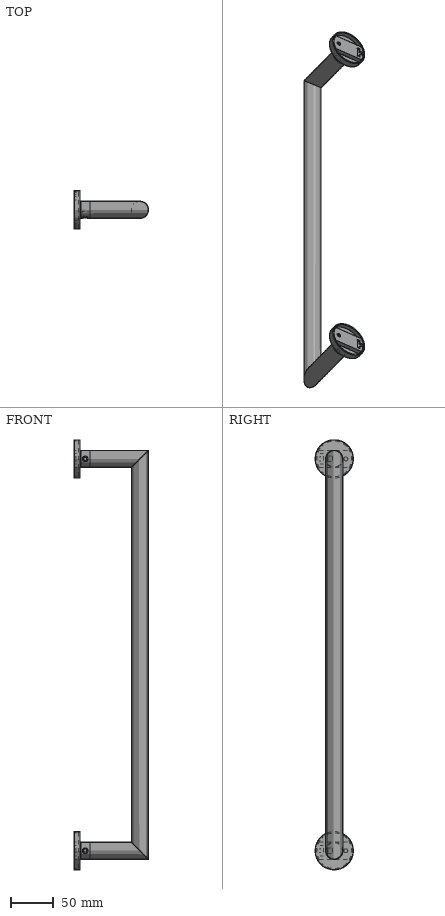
import cadquery as cq

OVERALL_HEIGHT = 501.5
OVERALL_DEPTH = 87.0

ROSE_DIAMETER = 44.5
ROSE_HEIGHT = 7.0
ROSE_WALL = 1.5
ROSE_FLOOR = 2.0

ROD_RADIUS = 10.0
SOCKET_WALL = 0.5
SOCKET_END = 18.5

PLATE_WIDTH = 20.0
PLATE_CLEARANCE = 0.5
SHOULDER_STEP = 0.25
SHOULDER_END = 8.0

RECESS_DEPTH = 2.0
ROUND_RECESS_DIAMETER = 4.5
ROUND_RECESS_OFFSET = 13.5
T_HEAD_OFFSET = 12.5
T_HEAD_LENGTH = 3.5
T_HEAD_WIDTH = 12.0
T_NECK_WIDTH = 4.5

SET_SCREW_DIAMETER = 6.5
SET_SCREW_LENGTH = 7.5
SET_SCREW_INSET = 0.5
SET_SCREW_X = 13.0
HEX_ACROSS_CORNERS = 4.0
HEX_DEPTH = 2.5

ROSE_RADIUS = ROSE_DIAMETER / 2
CUP_RADIUS = ROSE_RADIUS - ROSE_WALL
CUP_DEPTH = ROSE_HEIGHT - ROSE_FLOOR
PLATE_RADIUS = CUP_RADIUS - PLATE_CLEARANCE
SPIGOT_RADIUS = ROD_RADIUS - SOCKET_WALL
SHOULDER_RADIUS = SPIGOT_RADIUS + SHOULDER_STEP
BAR_X = OVERALL_DEPTH - ROD_RADIUS
LEG_Z = (OVERALL_HEIGHT - ROSE_DIAMETER) / 2


def cylinder_x(radius, start, end, y=0):
    """Cylinder along X from start to end, its axis at (y, z = 0)."""
    return cq.Workplane("YZ", origin=(start, 0, 0)).center(y, 0).circle(radius).extrude(end - start)


def cylinder_y(radius, start, end):
    """Cylinder along Y from start to end on the axis of the set screw."""
    plane = cq.Plane(origin=(SET_SCREW_X, start, 0), xDir=(1, 0, 0), normal=(0, 1, 0))
    return cq.Workplane(plane).circle(radius).extrude(end - start)


def block(x_range, y_range, width):
    """Box over the given X and Y ranges, centred on z = 0."""
    x_start, x_end = x_range
    y_start, y_end = y_range
    box = cq.Workplane("XY").box(x_end - x_start, y_end - y_start, width, centered=(False, False, True))
    return box.translate((x_start, y_start, 0))


def mitre_wedge():
    """Prism between the two 45 degree mitre planes, which holds the whole bar."""
    inner_x, outer_x = BAR_X - 2 * ROD_RADIUS, BAR_X + 2 * ROD_RADIUS
    inner_z, outer_z = LEG_Z - 2 * ROD_RADIUS, LEG_Z + 2 * ROD_RADIUS
    outline = [(inner_x, -inner_z), (outer_x, -outer_z), (outer_x, outer_z), (inner_x, inner_z)]
    return cq.Workplane("XZ").polyline(outline).close().extrude(2 * ROD_RADIUS, both=True)


def make_bar():
    rod = cq.Workplane("XY").center(BAR_X, 0).circle(ROD_RADIUS).extrude(OVERALL_HEIGHT / 2, both=True)
    return rod.intersect(mitre_wedge())


def spigot():
    """Spigot with its shoulder, from the plate to the end of the socket."""
    shoulder = cylinder_x(SHOULDER_RADIUS, CUP_DEPTH, SHOULDER_END)
    return shoulder.union(cylinder_x(SPIGOT_RADIUS, SHOULDER_END, SOCKET_END))


def set_screw_blank():
    outer_end = -ROD_RADIUS + SET_SCREW_INSET
    return cylinder_y(SET_SCREW_DIAMETER / 2, outer_end, outer_end + SET_SCREW_LENGTH)




def make_leg(side):
    """Leg of the upper (side = 1) or lower (side = -1) foot, with its mitre, socket and screw hole."""
    rod = cylinder_x(ROD_RADIUS, ROSE_HEIGHT, OVERALL_DEPTH)
    mitred = rod.cut(mitre_wedge().translate((0, 0, -side * LEG_Z)))
    screw_hole = cylinder_y(SET_SCREW_DIAMETER / 2, -2 * ROD_RADIUS, 0)
    return mitred.cut(spigot()).cut(screw_hole)


def make_rose():
    cup = cylinder_x(ROSE_RADIUS, 0, ROSE_HEIGHT).cut(cylinder_x(CUP_RADIUS, 0, CUP_DEPTH))
    return cup.cut(cylinder_x(SHOULDER_RADIUS, 0, ROSE_HEIGHT))


def t_recess():
    depth = (0, RECESS_DEPTH)
    head_end = T_HEAD_OFFSET + T_HEAD_LENGTH
    head = block(depth, (-head_end, -T_HEAD_OFFSET), T_HEAD_WIDTH)
    neck = block(depth, (-ROSE_RADIUS, -T_HEAD_OFFSET), T_NECK_WIDTH)
    return head.union(neck)


def make_mount():
    plate = cylinder_x(PLATE_RADIUS, 0, CUP_DEPTH)
    plate = plate.intersect(block((0, CUP_DEPTH), (-ROSE_RADIUS, ROSE_RADIUS), PLATE_WIDTH))
    round_recess = cylinder_x(ROUND_RECESS_DIAMETER / 2, 0, RECESS_DEPTH, ROUND_RECESS_OFFSET)
    plate = plate.cut(round_recess).cut(t_recess())
    return plate.union(spigot()).cut(set_screw_blank())


def make_set_screw():
    hex_socket = (
        cq.Workplane(cq.Plane(origin=(SET_SCREW_X, -ROD_RADIUS, 0), xDir=(1, 0, 0), normal=(0, 1, 0)))
        .polygon(6, HEX_ACROSS_CORNERS)
        .extrude(SET_SCREW_INSET + HEX_DEPTH)
    )
    return set_screw_blank().cut(hex_socket)


bodies = [make_bar().solids().val()]
for side in (-1, 1):
    foot = [make_leg(side), make_rose(), make_mount(), make_set_screw()]
    bodies += [part.translate((0, 0, side * LEG_Z)).solids().val() for part in foot]

result = cq.Compound.makeCompound(bodies)